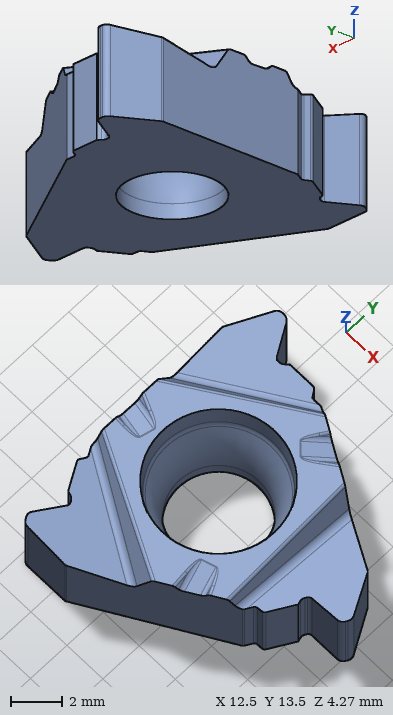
import cadquery as cq
import math


CORNERS = 3
CORNER_ANGLE = 360 / CORNERS

THICKNESS = 4.27
INSCRIBED_RADIUS = 4.75

TOOTH_HALF_ANGLE = 30
TOOTH_CREST_Y = 6.89
TOOTH_AXIS_X = -3.36
TOOTH_CREST_DROP = 0.42
TOOTH_CREST_RADIUS = 0.34

LAND_Y = 5.63
ROOT_Y = 5.41
SHOULDER_Y = 5.26
ROOT_END_X = -1.95
LAND_END_X = -0.35
SHOULDER_START_X = -0.12
ROOT_RADIUS = 0.19
RAMP_RADIUS = 0.3
BLEND_RADIUS = 0.16

GROOVE_CENTRE_X = 4.21
GROOVE_CENTRE_Z = 3.39
GROOVE_DROP = 5.0
GROOVE_TURN = 0.5
GROOVE_WALL_ANGLE = 60
GROOVE_FLOOR_ANGLE = 9
GROOVE_RADIUS = 0.35
GROOVE_RIM_RADIUS = 0.16
GROOVE_TOOL_REACH = 8.08
GROOVE_FLOOR_LENGTH = 6.06
GROOVE_WALL_HEIGHT = 2.69

POCKET_FLOOR_WIDTH = 0.63
POCKET_DEPTH = 0.25
POCKET_LENGTH = 1.35
POCKET_OFFSET_Y = -0.23
POCKET_TURN = 13.5
POCKET_WALL_ANGLE = 45
POCKET_RADIUS = 0.31
POCKET_RIM_RADIUS = 0.17
POCKET_TOOL_REACH = 2.02
POCKET_TOOL_HEIGHT = 0.51

HOLE_RADIUS = 4.4 / 2
RECESS_TOP_RADIUS = 3.07
RECESS_BOTTOM_RADIUS = 2.97
RECESS_DEPTH = 1.02
SEAT_TOP_RADIUS = 2.88
SEAT_TOP_DEPTH = 1.27
SEAT_BOTTOM_DEPTH = 3.58


def cos_deg(angle):
    return math.cos(math.radians(angle))


def sin_deg(angle):
    return math.sin(math.radians(angle))


def tan_deg(angle):
    return math.tan(math.radians(angle))


def rotated(x, y, angle):
    """Return the point (x, y) turned about the hole axis."""
    return (x * cos_deg(angle) - y * sin_deg(angle), x * sin_deg(angle) + y * cos_deg(angle))


def round_corner(before, corner, after, radius):
    """Return the start, middle and end of the arc that rounds a corner."""
    corner = cq.Vector(*corner)
    to_before = (cq.Vector(*before) - corner).normalized()
    to_after = (cq.Vector(*after) - corner).normalized()
    half_angle = to_before.getAngle(to_after) / 2
    tangent_length = radius / math.tan(half_angle)
    middle_distance = radius / math.sin(half_angle) - radius
    bisector = (to_before + to_after).normalized()
    return (
        corner + to_before * tangent_length,
        corner + bisector * middle_distance,
        corner + to_after * tangent_length,
    )


def rounded_polygon(plane, corners):
    """Draw a closed outline from (x, y, radius) corners; radius 0 keeps a corner sharp."""
    points = [(x, y) for x, y, _ in corners]
    outline = cq.Workplane(plane).moveTo(*points[0])
    for i in range(1, len(corners)):
        radius = corners[i][2]
        if radius == 0:
            outline = outline.lineTo(*points[i])
            continue
        start, middle, end = round_corner(points[i - 1], points[i], points[(i + 1) % len(points)], radius)
        outline = outline.lineTo(start.x, start.y)
        outline = outline.threePointArc((middle.x, middle.y), (end.x, end.y))
    return outline.close()


def around_axis(tool):
    """Return the tool repeated at every corner."""
    tools = cq.Workplane()
    for i in range(CORNERS):
        tools = tools.add(tool.rotate((0, 0, 0), (0, 0, 1), i * CORNER_ANGLE))
    return tools.combine()


def corner_outline():
    """Corners of one third of the outline, from the -X side to the next side, clockwise."""
    apex_y = TOOTH_CREST_Y + TOOTH_CREST_DROP
    crest_half = TOOTH_CREST_DROP * tan_deg(TOOTH_HALF_ANGLE)
    flank_slope = 1 / tan_deg(TOOTH_HALF_ANGLE)
    side_x = -INSCRIBED_RADIUS
    flank_start_y = apex_y - (TOOTH_AXIS_X - side_x) * flank_slope
    root_x = TOOTH_AXIS_X + (apex_y - ROOT_Y) / flank_slope
    ramp_end_x = ROOT_END_X + LAND_Y - ROOT_Y
    side_normal = CORNER_ANGLE / 2
    next_side_x = (INSCRIBED_RADIUS - SHOULDER_Y * sin_deg(side_normal)) / cos_deg(side_normal)
    return [
        (side_x, flank_start_y, BLEND_RADIUS),
        (TOOTH_AXIS_X - crest_half, TOOTH_CREST_Y, TOOTH_CREST_RADIUS),
        (TOOTH_AXIS_X + crest_half, TOOTH_CREST_Y, TOOTH_CREST_RADIUS),
        (root_x, ROOT_Y, ROOT_RADIUS),
        (ROOT_END_X, ROOT_Y, RAMP_RADIUS),
        (ramp_end_x, LAND_Y, 0),
        (LAND_END_X, LAND_Y, BLEND_RADIUS),
        (SHOULDER_START_X, SHOULDER_Y, BLEND_RADIUS),
        (next_side_x, SHOULDER_Y, BLEND_RADIUS),
    ]


def make_body():
    corners = [(-INSCRIBED_RADIUS, 0, 0)]
    for i in range(CORNERS):
        for x, y, radius in corner_outline():
            corners.append((*rotated(x, y, -i * CORNER_ANGLE), radius))
    return rounded_polygon("XY", corners).extrude(THICKNESS)


def make_groove_tool():
    """Prism above the chip groove: steep wall, round bottom and floor rising to the tooth."""
    wall_x = -GROOVE_WALL_HEIGHT / tan_deg(GROOVE_WALL_ANGLE)
    floor_z = GROOVE_FLOOR_LENGTH * tan_deg(GROOVE_FLOOR_ANGLE)
    section = [
        (wall_x, GROOVE_WALL_HEIGHT, 0),
        (0, 0, GROOVE_RADIUS),
        (GROOVE_FLOOR_LENGTH, floor_z, 0),
        (GROOVE_FLOOR_LENGTH, GROOVE_WALL_HEIGHT, 0),
    ]
    tool = rounded_polygon("XZ", section).extrude(GROOVE_TOOL_REACH, both=True)
    tool = tool.rotate((0, 0, 0), (1, 0, 0), -GROOVE_DROP)
    tool = tool.rotate((0, 0, 0), (0, 0, 1), -GROOVE_TURN)
    return tool.translate((GROOVE_CENTRE_X, 0, GROOVE_CENTRE_Z))


def round_groove_rims(body):
    rim_x = GROOVE_CENTRE_X - (THICKNESS - GROOVE_CENTRE_Z) / tan_deg(GROOVE_WALL_ANGLE)
    for i in range(CORNERS):
        x, y = rotated(rim_x, 0, i * CORNER_ANGLE)
        rim = cq.selectors.NearestToPointSelector((x, y, THICKNESS))
        body = body.edges(rim).fillet(GROOVE_RIM_RADIUS)
    return body


def round_pocket_rims(body):
    end_distance = POCKET_LENGTH * cos_deg(POCKET_TURN)
    end_x = -INSCRIBED_RADIUS + end_distance
    end_y = POCKET_OFFSET_Y - end_distance * tan_deg(POCKET_TURN)
    for i in range(CORNERS):
        x, y = rotated(end_x, end_y, i * CORNER_ANGLE)
        rim = cq.selectors.NearestToPointSelector((x, y, THICKNESS))
        body = body.edges(rim).fillet(POCKET_RIM_RADIUS)
    return body


def make_pocket_tool():
    """Trough whose floor climbs from the side face until it runs out in the top face."""
    ramp_angle = math.degrees(math.atan2(POCKET_DEPTH, POCKET_LENGTH))
    bottom_half = POCKET_FLOOR_WIDTH / 2 + POCKET_RADIUS * tan_deg(POCKET_WALL_ANGLE / 2)
    top_half = bottom_half + POCKET_TOOL_HEIGHT / tan_deg(POCKET_WALL_ANGLE)
    section = [
        (-top_half, POCKET_TOOL_HEIGHT, 0),
        (-bottom_half, 0, POCKET_RADIUS),
        (bottom_half, 0, POCKET_RADIUS),
        (top_half, POCKET_TOOL_HEIGHT, 0),
    ]
    tool = rounded_polygon("YZ", section).extrude(POCKET_TOOL_REACH, both=True)
    tool = tool.rotate((0, 0, 0), (0, 1, 0), -ramp_angle)
    tool = tool.rotate((0, 0, 0), (0, 0, 1), -POCKET_TURN)
    return tool.translate((-INSCRIBED_RADIUS, POCKET_OFFSET_Y, THICKNESS - POCKET_DEPTH))


def make_hole_tool():
    """Tapered recess, rounded step, bulging screw seat that runs tangent into the straight hole."""
    recess_bottom = (RECESS_BOTTOM_RADIUS, THICKNESS - RECESS_DEPTH)
    seat_top = (SEAT_TOP_RADIUS, THICKNESS - SEAT_TOP_DEPTH)
    seat_bottom_z = THICKNESS - SEAT_BOTTOM_DEPTH
    seat_width = SEAT_TOP_RADIUS - HOLE_RADIUS
    seat_height = SEAT_BOTTOM_DEPTH - SEAT_TOP_DEPTH
    seat_arc_radius = (seat_width**2 + seat_height**2) / (2 * seat_width)
    half_sweep = math.asin(seat_height / seat_arc_radius) / 2
    seat_middle = (
        HOLE_RADIUS + seat_arc_radius * (1 - math.cos(half_sweep)),
        seat_bottom_z + seat_arc_radius * math.sin(half_sweep),
    )
    return (
        cq.Workplane("XZ")
        .lineTo(HOLE_RADIUS, 0)
        .lineTo(HOLE_RADIUS, seat_bottom_z)
        .threePointArc(seat_middle, seat_top)
        .tangentArcPoint(recess_bottom, relative=False)
        .lineTo(RECESS_TOP_RADIUS, THICKNESS)
        .lineTo(0, THICKNESS)
        .close()
        .revolve(360, (0, 0), (0, 1))
    )


body = make_body().cut(around_axis(make_groove_tool()))
body = round_groove_rims(body)
body = body.cut(around_axis(make_pocket_tool()))
body = round_pocket_rims(body)
result = body.cut(make_hole_tool())